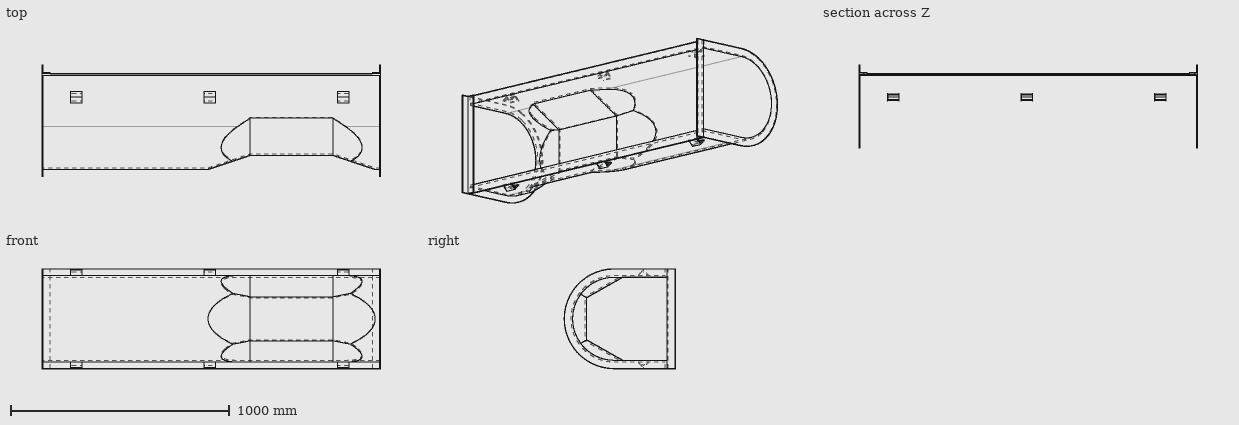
import cadquery as cq
import math

length = 1550.0
height = 457.0
depth = 508.0

wall = 8.0
rim_width = 39.0
rim_thickness = 6.0
rim_radius = height / 2
inner_radius = rim_radius - rim_width
trough_radius = inner_radius + wall

post_leg = 39.0
post_thickness = 6.0

back_y = depth - rim_radius
lip_back_y = back_y - post_leg

dent_start_x = 953.0
dent_length = 378.0
dent_end_x = dent_start_x + dent_length
dent_floor_y = -133.0
dent_half_height = 100.0
dent_side_slope = math.radians(29.5)
dent_end_rise = 1 / 3
mitre_ratio = math.tan((math.pi / 2 - dent_side_slope) / 2)

clip_length = 53.0
clip_leg = 35.0
clip_thickness = 6.0
clip_count = 3
clip_spacing = 610.0
first_clip_x = 158.0
clip_y = 133.0


def u_prism(radius, start_x, end_x):
    """Solid bar along X with a U-shaped section that ends flat at the back of the lips."""
    outline = (
        cq.Workplane("YZ", origin=(start_x, 0, 0))
        .moveTo(lip_back_y, radius)
        .lineTo(0, radius)
        .threePointArc((-radius, 0), (0, -radius))
        .lineTo(lip_back_y, -radius)
        .close()
    )
    return outline.extrude(end_x - start_x)


def dent_section(x, offset):
    """Trapezoid bounded by the dent's floor and sides, each face moved out by `offset`."""
    floor_y = dent_floor_y - offset
    corner_z = dent_half_height + offset * mitre_ratio
    back_z = corner_z + (back_y - floor_y) * math.tan(dent_side_slope)
    corners = [(back_y, -back_z), (floor_y, -corner_z), (floor_y, corner_z), (back_y, back_z)]
    return cq.Wire.makePolygon([cq.Vector(x, y, z) for y, z in corners], close=True)


def dent_envelope(offset):
    """Space left inside the dent's faces; its ends widen until they clear the trough."""
    end_reach = length
    wide_offset = offset + end_reach * dent_end_rise
    sections = [
        dent_section(dent_start_x - end_reach, wide_offset),
        dent_section(dent_start_x, offset),
        dent_section(dent_end_x, offset),
        dent_section(dent_end_x + end_reach, wide_offset),
    ]
    envelope = cq.Workplane("XY")
    for near, far in zip(sections, sections[1:]):
        envelope = envelope.add(cq.Solid.makeLoft([near, far], True))
    return envelope.combine()


def dented_prism(radius, offset, start_x, end_x):
    return u_prism(radius, start_x, end_x).intersect(dent_envelope(offset))


def make_housing():
    """Dented trough and lips between two end rims, hollowed out from end to end."""
    far_rim_x = length - rim_thickness
    housing = dented_prism(trough_radius, 0, rim_thickness, far_rim_x)
    lips = cq.Workplane("XY", origin=(rim_thickness, lip_back_y - wall, 0)).box(
        far_rim_x - rim_thickness, wall, height, centered=(False, False, True)
    )
    housing = housing.union(lips)
    housing = housing.union(u_prism(rim_radius, 0, rim_thickness))
    housing = housing.union(u_prism(rim_radius, far_rim_x, length))
    return housing.cut(dented_prism(inner_radius, -wall, 0, length))


def make_post(end_x, inward):
    """Upright angle bar: one leg flush with the end, the other lying on the lips."""
    outline = (
        cq.Workplane("XY", origin=(end_x, 0, -height / 2))
        .moveTo(0, lip_back_y)
        .lineTo(inward * post_leg, lip_back_y)
        .lineTo(inward * post_leg, lip_back_y + post_thickness)
        .lineTo(inward * post_thickness, lip_back_y + post_thickness)
        .lineTo(inward * post_thickness, back_y)
        .lineTo(0, back_y)
        .close()
    )
    return outline.extrude(height)


def make_clip(center_x, side):
    """Angle bar with both legs at 45 degrees to the flat side; `side` is 1 above, -1 below."""
    ridge = clip_leg / math.sqrt(2)
    inner_ridge = ridge - clip_thickness * math.sqrt(2)
    outline = [
        (-ridge, 0),
        (0, side * ridge),
        (ridge, 0),
        (inner_ridge, 0),
        (0, side * inner_ridge),
        (-inner_ridge, 0),
    ]
    origin = (center_x - clip_length / 2, clip_y, side * trough_radius)
    return cq.Workplane("YZ", origin=origin).polyline(outline).close().extrude(clip_length)


housing = make_housing()

posts = [make_post(0, 1), make_post(length, -1)]

clips = []
for index in range(clip_count):
    for side in (1, -1):
        clips.append(make_clip(first_clip_x + index * clip_spacing, side))

result = cq.Compound.makeCompound(
    [
        housing.val(),
        *[post.val() for post in posts],
        *[clip.val() for clip in clips],
    ]
)